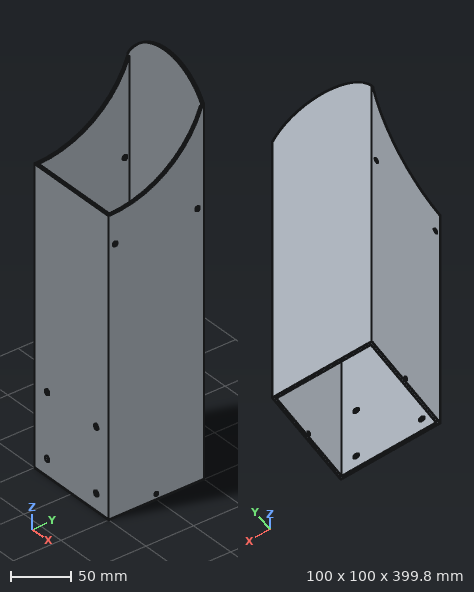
import cadquery as cq

width = 100.0
height = 399.8
wall = 2.5
half = width / 2

front_height = 300.5
shoulder_height = 370.5
scoop_radius = 104.0

mount_diameter = 5.0
mount_spacing = 66.0
mount_center_height = 50.5

upper_diameter = 4.5
upper_offset = 43.0
upper_height = 270.3
lower_diameter = 3.4
lower_height = 5.5


def make_tube():
    outer = cq.Workplane("XY").rect(width, width)
    return outer.rect(width - 2 * wall, width - 2 * wall).extrude(height)


def make_back_envelope():
    """Arched outline, extruded through the full depth of the tube."""
    return (
        cq.Workplane("XZ")
        .moveTo(-half, 0)
        .lineTo(half, 0)
        .lineTo(half, shoulder_height)
        .threePointArc((0, height), (-half, shoulder_height))
        .close()
        .extrude(half, both=True)
    )


def make_scoop():
    """Space above the front and side walls, stopping at the back wall."""
    scoop_center_height = front_height + scoop_radius
    cylinder = (
        cq.Workplane("YZ")
        .center(-half, scoop_center_height)
        .circle(scoop_radius)
        .extrude(half, both=True)
    )
    front_of_back_wall = (
        cq.Workplane("XY")
        .center(0, -wall / 2)
        .rect(width, width - wall)
        .extrude(height)
    )
    return cylinder.intersect(front_of_back_wall)


def front_holes():
    return (
        cq.Workplane("XZ", origin=(0, 0, mount_center_height))
        .rect(mount_spacing, mount_spacing, forConstruction=True)
        .vertices()
        .circle(mount_diameter / 2)
        .extrude(half)
    )


def side_holes(diameter, points):
    return (
        cq.Workplane("YZ")
        .pushPoints(points)
        .circle(diameter / 2)
        .extrude(half, both=True)
    )


upper_points = [(side * upper_offset, upper_height) for side in (-1, 1)]
lower_points = [(0, lower_height)]

result = (
    make_tube()
    .intersect(make_back_envelope())
    .cut(make_scoop())
    .cut(front_holes())
    .cut(side_holes(upper_diameter, upper_points))
    .cut(side_holes(lower_diameter, lower_points))
)